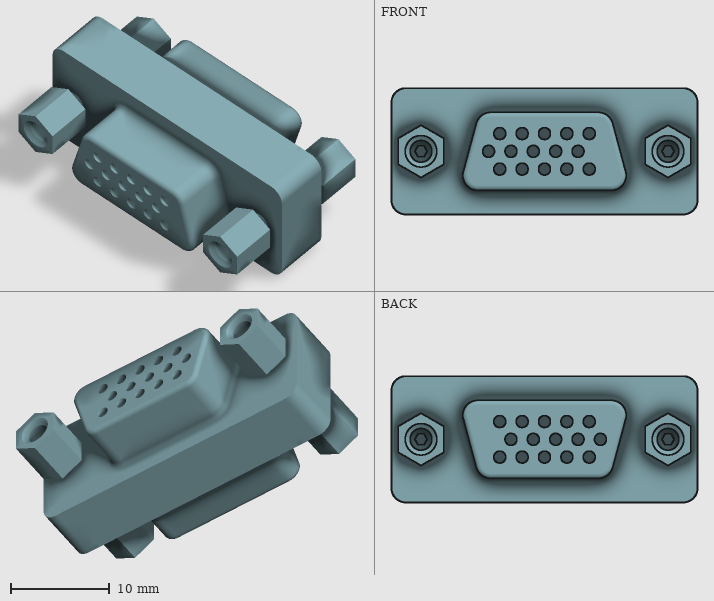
import cadquery as cq
import math

plate_width = 31.0
plate_thickness = 6.0
plate_height = 12.8
plate_corner_radius = 1.5

shell_length = 5.5
shell_height = 7.87
shell_mid_width = 15.3
shell_side_angle = 15.0
shell_corner_radius = 1.5
shell_edge_fillet = 0.5
shell_root_fillet = 0.5

contact_diameter = 1.2
contact_depth = 5.0
contact_pitch = 2.25
contact_row_spacing = 1.8
contacts_per_row = 5

screw_spacing = 25.0
overall_depth = 18.0
neck_diameter = 2.3
neck_length = 1.0
hex_across_flats = 4.6
hex_across_corners = hex_across_flats / math.cos(math.radians(30))

bore_diameter = 2.2
bore_depth = 3.0
countersink_diameter = 3.2
socket_across_flats = 1.1
socket_across_corners = socket_across_flats / math.cos(math.radians(30))
socket_depth = 0.5

plate_face = plate_thickness / 2
screw_end = overall_depth / 2


def make_plate():
    return (
        cq.Workplane("XY")
        .box(plate_width, plate_thickness, plate_height)
        .edges("|Y")
        .fillet(plate_corner_radius)
    )


def front_plane(distance):
    """Plane facing -Y, the given distance in front of the plate's mid-plane."""
    return cq.Workplane("XZ", origin=(0, -distance, 0))


def make_shell():
    """Trapezoid shell, wide at the bottom, rounded at its corners and front edge."""
    half_height = shell_height / 2
    side_shift = half_height * math.tan(math.radians(shell_side_angle))
    half_top = shell_mid_width / 2 - side_shift
    half_bottom = shell_mid_width / 2 + side_shift
    return (
        front_plane(plate_face)
        .polyline(
            [
                (-half_bottom, -half_height),
                (half_bottom, -half_height),
                (half_top, half_height),
                (-half_top, half_height),
            ]
        )
        .close()
        .extrude(shell_length)
        .edges("|Y")
        .fillet(shell_corner_radius)
        .faces("<Y")
        .edges()
        .fillet(shell_edge_fillet)
    )


def contact_points():
    """Three rows of contacts, the middle row shifted half a pitch to the left."""
    points = []
    for row in (-1, 0, 1):
        row_shift = -contact_pitch / 2 if row == 0 else 0
        for column in range(contacts_per_row):
            x = (column - (contacts_per_row - 1) / 2) * contact_pitch + row_shift
            points.append((x, row * contact_row_spacing))
    return points


def make_contact_holes():
    return (
        front_plane(plate_face + shell_length)
        .pushPoints(contact_points())
        .circle(contact_diameter / 2)
        .extrude(-contact_depth)
    )


def make_bore():
    """Bore on the Y axis: 45 degree countersink, 45 degree conical floor and hexagon socket."""
    bore_radius = bore_diameter / 2
    mouth_radius = countersink_diameter / 2
    floor_radius = socket_across_flats / 2
    countersink_end = -screw_end + mouth_radius - bore_radius
    cone_start = -screw_end + bore_depth
    cone_end = cone_start + bore_radius - floor_radius
    round_bore = (
        cq.Workplane("XY")
        .polyline(
            [
                (0, -screw_end),
                (mouth_radius, -screw_end),
                (bore_radius, countersink_end),
                (bore_radius, cone_start),
                (floor_radius, cone_end),
                (0, cone_end),
            ]
        )
        .close()
        .revolve(360, (0, 0, 0), (0, 1, 0))
    )
    socket_bottom = cone_end + socket_depth
    socket = (
        front_plane(-socket_bottom)
        .polygon(6, socket_across_corners)
        .extrude(socket_bottom - cone_start)
    )
    return round_bore.union(socket)


def make_jackscrew():
    """Front jackscrew on the Y axis, with two corners of its hexagon pointing up and down."""
    neck = front_plane(plate_face).circle(neck_diameter / 2).extrude(neck_length)
    hex_start = plate_face + neck_length
    head = (
        front_plane(hex_start)
        .transformed(rotate=(0, 0, 90))
        .polygon(6, hex_across_corners)
        .extrude(screw_end - hex_start)
    )
    return neck.union(head).cut(make_bore())


def turned_to_back(front_feature):
    """Copy of a front feature turned half a turn about X, so it is upside down at the back."""
    return front_feature.rotate((0, 0, 0), (1, 0, 0), 180)


shell = make_shell()
body = make_plate().union(shell).union(turned_to_back(shell))
root_tolerance = 0.003
search_x = screw_spacing / 2
search_z = shell_height / 2 + shell_root_fillet
for face_y in (-plate_face, plate_face):
    root_edges = body.edges(
        cq.selectors.BoxSelector(
            (-search_x, face_y - root_tolerance, -search_z),
            (search_x, face_y + root_tolerance, search_z),
            boundingbox=True,
        )
    )
    body = root_edges.fillet(shell_root_fillet)

contact_holes = make_contact_holes()
body = body.cut(contact_holes).cut(turned_to_back(contact_holes))

jackscrew = make_jackscrew()
for screw_x in (-screw_spacing / 2, screw_spacing / 2):
    for screw in (jackscrew, turned_to_back(jackscrew)):
        body = body.union(screw.translate((screw_x, 0, 0)))

result = body